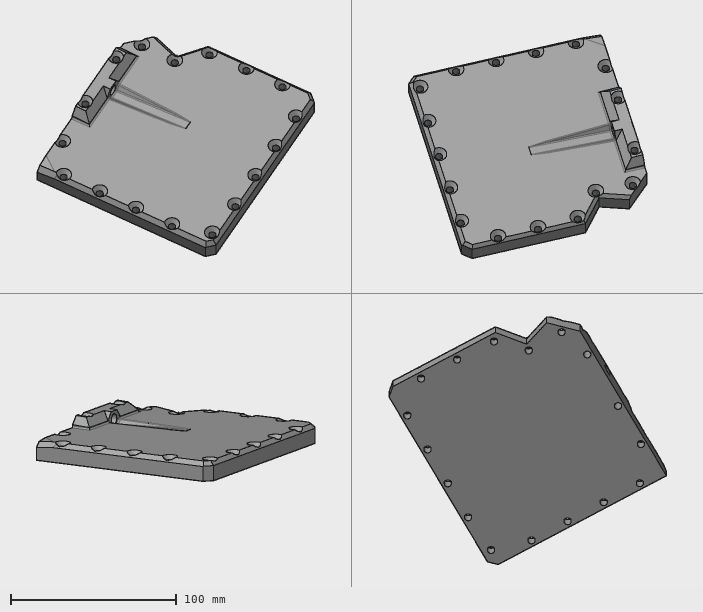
import cadquery as cq
import math

length_x = 121.2
length_y = 130.7
plate_top = 12.0
left_slant_y = 106.4
notch_left = (14.9, 121.0)
notch_root = (32.2, 114.9)
notch_right_x = 45.0
back_corner_cut = (5.4, 4.8)
front_corner_cut = 4.7

front_bevel = (2.6, 2.9)
right_bevel = (2.5, 2.6)
back_bevel = (2.1, 2.0)

sunken_depth_top = 1.27
sunken_top_x = 14.2
sunken_top_y = 11.0
sunken_bevel_x = 11.5
sunken_bevel_slope = 1.0
sunken_bevel_depth = 1.3

boss_top = 18.7
boss_length = 11.9
boss_front_y = 43.1
boss_back_y = 101.6
boss_side_bevel = 4.3
boss_end_bevel = 4.6
boss_bevel_drop = 4.8
boss_fall = 0.5
boss_root_fillet = 0.98

passage_y = 72.4
passage_z = 13.1
passage_diameter = 6.4
hood_width = 6.9
hood_side_slope = 0.78
groove_end_x = 63.8
groove_depth = 3.0
groove_floor_half_width = 2.6
groove_root_radius = 1.2
groove_rim_radius = 1.2
groove_fade_depth = 0.72
groove_end_depth = 0.1
groove_wall_angle = math.pi / 4

hole_diameter = 4.3
sink_radius = 4.7
pitch = 25.0
left_row_x = 3.5
front_row = (16.3, 3.7)
back_row = (73.6, 126.8)
right_row = (117.4, 35.3)
front_row_count = 4
back_row_count = 2
right_row_count = 4

plate_holes = [(left_row_x, 25.2), (10.1, 111.3), (33.1, 110.7), (48.5, 126.0), (115.5, 10.2)]
plate_holes += [(front_row[0] + i * pitch, front_row[1]) for i in range(front_row_count)]
plate_holes += [(back_row[0] + i * pitch, back_row[1]) for i in range(back_row_count)]
plate_holes += [(right_row[0], right_row[1] + i * pitch) for i in range(right_row_count)]
boss_holes = [(left_row_x, 53.3), (left_row_x, 91.2)]

outline = [
    (0, 0),
    (length_x - front_corner_cut, 0),
    (length_x, front_corner_cut),
    (length_x, length_y - back_corner_cut[1]),
    (length_x - back_corner_cut[0], length_y),
    (notch_right_x, length_y),
    notch_root,
    notch_left,
    (0, left_slant_y),
]
edge_bevels = [front_bevel, right_bevel, right_bevel, back_bevel, back_bevel, back_bevel, back_bevel]
overrun = 6.5
sink_overrun = 1.3
cutter_size = 4 * length_y
margin = 0.1


def edge_bevel(start, end, bevel, run_in, run_out):
    """Cutter for the bevel along one upper edge of the counter-clockwise outline."""
    width, drop = bevel
    dx = end[0] - start[0]
    dy = end[1] - start[1]
    span = math.hypot(dx, dy)
    direction = cq.Vector(dx / span, dy / span, 0)
    origin = cq.Vector(start[0], start[1], plate_top) - direction * run_in
    inward = (-direction.y, direction.x, 0)
    plane = cq.Plane(origin=origin, xDir=inward, normal=direction.toTuple())
    slope = drop / width
    corners = [
        (width + overrun, overrun * slope),
        (-overrun, overrun * slope),
        (-overrun, -drop - overrun * slope),
    ]
    return cq.Workplane(plane).polyline(corners).close().extrude(span + run_in + run_out)


def half_space(origin, slope_x, slope_y):
    """Large block above the plane through the origin point, rising by the two slopes."""
    plane = cq.Plane(origin=origin, xDir=(1, 0, slope_x), normal=(-slope_x, -slope_y, 1))
    return cq.Workplane(plane).rect(cutter_size, cutter_size).extrude(length_y)


def screw_hole(x, y, surface):
    """Through hole with a 90 degree countersink opening on the given height."""
    drill = cq.Workplane("XY").center(x, y).circle(hole_diameter / 2).extrude(surface)
    tip = cq.Vector(x, y, surface - sink_radius)
    cone_size = sink_radius + sink_overrun
    cone = cq.Solid.makeCone(0, cone_size, cone_size, tip)
    return drill.union(cq.Workplane(cone))


def make_plate():
    plate = cq.Workplane("XY").polyline(outline).close().extrude(plate_top)
    for i, bevel in enumerate(edge_bevels):
        start = outline[i]
        end = outline[i + 1]
        run_in = 0 if start == notch_root else overrun
        run_out = 0 if end == notch_root else overrun
        plate = plate.cut(edge_bevel(start, end, bevel, run_in, run_out))
    facet_z = plate_top - sunken_depth_top
    facet = half_space((0, 0, facet_z), sunken_depth_top / sunken_top_x, sunken_depth_top / sunken_top_y)
    bevel_z = plate_top - front_bevel[1] - sunken_bevel_depth
    deep_bevel = half_space((0, 0, bevel_z), sunken_bevel_depth / sunken_bevel_x, sunken_bevel_slope)
    return plate.cut(facet).cut(deep_bevel)


def section_at(x, corners):
    """Closed outline of (y, z) corners across the part at the given x."""
    return cq.Workplane("YZ").workplane(offset=x).polyline(corners).close().val()


def boss_section(x, top):
    """Section of the boss with its two bevelled sides; it starts at the underside."""
    bevel_base = top - boss_bevel_drop
    corners = [
        (boss_front_y, 0),
        (boss_back_y, 0),
        (boss_back_y, bevel_base),
        (boss_back_y - boss_side_bevel, top),
        (boss_front_y + boss_side_bevel, top),
        (boss_front_y, bevel_base),
    ]
    return section_at(x, corners)


def hood_section(x, top):
    """Trapezoid standing on the plate, narrowest at the roof."""
    half_roof = hood_width / 2
    base_half = half_roof + (top - plate_top) * hood_side_slope
    corners = [
        (passage_y - base_half, plate_top),
        (passage_y + base_half, plate_top),
        (passage_y + half_roof, top),
        (passage_y - half_roof, top),
    ]
    return section_at(x, corners)


def falling_loft(section):
    """Solid along the boss whose top falls gently from the left edge to the inner end."""
    sections = [section(0, boss_top), section(boss_length, boss_top - boss_fall)]
    return cq.Workplane(cq.Solid.makeLoft(sections, True))


def make_boss():
    """Boss with a bevelled inner end, and the hood that fills the bevel over the passage."""
    end_top = boss_top - boss_fall
    bevel_slope = boss_bevel_drop / boss_end_bevel
    end_bevel = [
        (boss_length, end_top - boss_bevel_drop),
        (boss_length + overrun, end_top - boss_bevel_drop - overrun * bevel_slope),
        (boss_length + overrun, end_top + overrun * bevel_slope),
        (boss_length - boss_end_bevel - overrun, end_top + overrun * bevel_slope),
    ]
    end_cut = cq.Workplane("XZ").polyline(end_bevel).close().extrude(-length_y)
    return falling_loft(boss_section).cut(end_cut).union(falling_loft(hood_section))


def groove_section(x, depth, root_radius, rim_radius):
    """Flat floor, rounded roots, sloping walls and rims rounded into the plate top."""
    sine = math.sin(groove_wall_angle)
    versine = 1 - math.cos(groove_wall_angle)
    half_sine = math.sin(groove_wall_angle / 2)
    half_versine = 1 - math.cos(groove_wall_angle / 2)
    half_floor = groove_floor_half_width
    floor_z = plate_top - depth
    wall_rise = depth - (root_radius + rim_radius) * versine
    wall_run = wall_rise / math.tan(groove_wall_angle)
    root = (half_floor + root_radius * sine, floor_z + root_radius * versine)
    rim = (root[0] + wall_run, root[1] + wall_rise)
    rim_top = (rim[0] + rim_radius * sine, plate_top)
    root_middle = (half_floor + root_radius * half_sine, floor_z + root_radius * half_versine)
    rim_middle = (rim_top[0] - rim_radius * half_sine, plate_top - rim_radius * half_versine)
    plane = cq.Plane(origin=(x, passage_y, 0), xDir=(0, 1, 0), normal=(1, 0, 0))
    return (
        cq.Workplane(plane)
        .moveTo(-half_floor, floor_z)
        .lineTo(half_floor, floor_z)
        .threePointArc(root_middle, root)
        .lineTo(*rim)
        .threePointArc(rim_middle, rim_top)
        .lineTo(rim_top[0], boss_top)
        .lineTo(-rim_top[0], boss_top)
        .lineTo(-rim_top[0], plate_top)
        .threePointArc((-rim_middle[0], rim_middle[1]), (-rim[0], rim[1]))
        .lineTo(-root[0], root[1])
        .threePointArc((-root_middle[0], root_middle[1]), (-half_floor, floor_z))
        .close()
        .val()
    )


def make_groove():
    """Ramp of constant wall shape, then a short stretch where the roundings fade out."""
    ramp_length = groove_end_x - boss_length
    fade_share = (groove_fade_depth - groove_end_depth) / (groove_depth - groove_end_depth)
    fade_x = groove_end_x - ramp_length * fade_share
    fade = groove_end_depth / groove_fade_depth
    deep = groove_section(boss_length, groove_depth, groove_root_radius, groove_rim_radius)
    middle = groove_section(fade_x, groove_fade_depth, groove_root_radius, groove_rim_radius)
    shallow = groove_section(
        groove_end_x, groove_end_depth, groove_root_radius * fade, groove_rim_radius * fade
    )
    ramp = cq.Workplane(cq.Solid.makeLoft([deep, middle], True))
    return ramp.union(cq.Workplane(cq.Solid.makeLoft([middle, shallow], True)))


plate = make_plate().cut(make_groove())
body = plate.union(make_boss())
foot_edges = cq.selectors.BoxSelector(
    (-margin, boss_front_y - margin, plate_top - groove_depth - margin),
    (boss_length + margin, boss_back_y + margin, plate_top + margin),
    boundingbox=True,
)
body = body.edges(foot_edges).fillet(boss_root_fillet)
passage_length = boss_length + boss_root_fillet
passage_start = cq.Workplane("YZ").center(passage_y, passage_z).circle(passage_diameter / 2)
passage = passage_start.extrude(passage_length)
body = body.cut(passage)
for x, y in plate_holes:
    body = body.cut(screw_hole(x, y, plate_top))
for x, y in boss_holes:
    body = body.cut(screw_hole(x, y, boss_top))

result = body